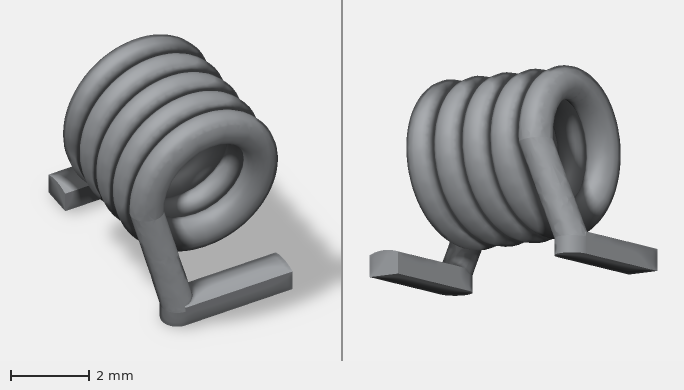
import cadquery as cq
import math

overall_length = 6.51
coil_diameter = 4.45
overall_height = 5.23
wire_diameter = 0.9
coil_wire_diameter = 0.88
pitch = 0.885
turns = 4.5
foot_seat_height = 0.45
foot_side_height = 0.57
foot_crown_height = 0.66
foot_root_y = 1.34
foot_tip_y = -1.785

wire_radius = wire_diameter / 2
coil_wire_radius = coil_wire_diameter / 2
coil_radius = coil_diameter / 2 - coil_wire_radius
coil_height = overall_height - coil_diameter / 2
coil_length = pitch * turns
foot_x = -overall_length / 2 + wire_radius
lead_angle = math.atan(pitch / (2 * math.pi * coil_radius))

coil_start = cq.Plane(
    origin=(-coil_length / 2, coil_radius, coil_height),
    xDir=(0, 1, 0),
    normal=(math.sin(lead_angle), 0, math.cos(lead_angle)),
)


def make_coil():
    """Round wire wound as a right-handed helix about an axis parallel to X."""
    helix = cq.Wire.makeHelix(pitch, coil_length, coil_radius)
    path = (
        cq.Workplane(helix)
        .rotate((0, 0, 0), (0, 1, 0), 90)
        .rotate((0, 0, 0), (1, 0, 0), 90)
        .translate((-coil_length / 2, 0, coil_height))
    )
    return cq.Workplane(coil_start).circle(coil_wire_radius).sweep(path, isFrenet=True)


def make_leg():
    """Sloping wire from the start of the coil down to the left foot."""
    upper_end = cq.Wire.makeCircle(coil_wire_radius, coil_start.origin, coil_start.zDir)
    lower_end = cq.Wire.makeCircle(
        wire_radius,
        cq.Vector(foot_x, foot_root_y, foot_seat_height),
        cq.Vector(0, 0, 1),
    )
    return cq.Workplane(cq.Solid.makeLoft([lower_end, upper_end], True))


def make_foot():
    """Flat-bottomed left foot with an arched top and a lower, rounded root."""
    bar = (
        cq.Workplane("XZ", origin=(foot_x, foot_root_y, 0))
        .moveTo(-wire_radius, 0)
        .lineTo(wire_radius, 0)
        .lineTo(wire_radius, foot_side_height)
        .threePointArc((0, foot_crown_height), (-wire_radius, foot_side_height))
        .close()
        .extrude(foot_root_y - foot_tip_y)
    )
    root = (
        cq.Workplane("XY", origin=(foot_x, foot_root_y, 0))
        .circle(wire_radius)
        .extrude(foot_seat_height)
    )
    return bar.union(root)


left_end = make_foot().union(make_leg())
right_end = left_end.rotate((0, 0, 0), (0, 0, 1), 180)
result = make_coil().union(left_end).union(right_end)